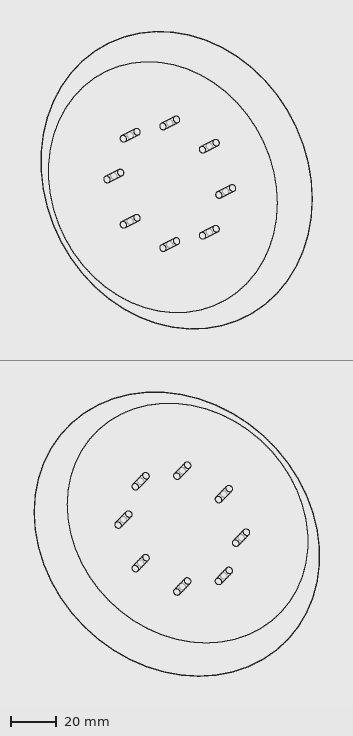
import cadquery as cq

large_diameter = 133.7
small_diameter = 112.7
thickness = 13.0

hole_count = 8
hole_diameter = 3.1
hole_circle_radius = 27.5


def make_disc():
    """Revolve the half section about Y, from the small face to the large face."""
    half_section = (
        cq.Workplane("XY")
        .moveTo(0, -thickness / 2)
        .lineTo(small_diameter / 2, -thickness / 2)
        .lineTo(large_diameter / 2, thickness / 2)
        .lineTo(0, thickness / 2)
        .close()
    )
    return half_section.revolve(360, (0, 0, 0), (0, 1, 0))


def make_hole_ring():
    """Pins for the evenly spaced holes, spanning the full thickness."""
    return (
        cq.Workplane("XZ")
        .polarArray(hole_circle_radius, 0, 360, hole_count)
        .circle(hole_diameter / 2)
        .extrude(thickness, both=True)
    )


result = make_disc().cut(make_hole_ring())